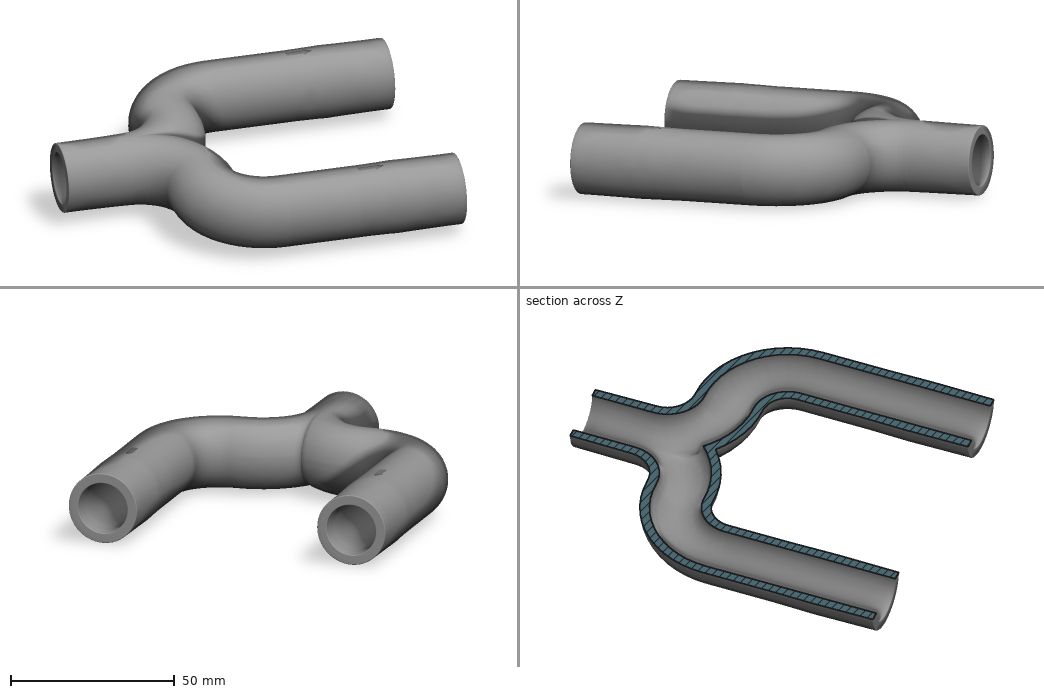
import cadquery as cq
import math

length = 115.1
leg_spacing = 80.0
leg_offset = leg_spacing / 2

tube_dia = 22.0
bore_dia = 15.8

stem_length = 20.0
stem_tip_dia = 21.5

leg_spigot_length = 20.1
leg_taper_length = 13.6
leg_shoulder_dia = 22.5
leg_tip_dia = tube_dia

edge_round = 0.29

arrow_tip_gap = 3.2
arrow_length = 8.3
arrow_head_length = 2.9
arrow_head_width = 3.8
arrow_shaft_width = 2.1
arrow_depth = 0.3

stem_bend_radius = 20.0
leg_bend_radius = 19.0
bend_cosine = 1 - leg_offset / (stem_bend_radius + leg_bend_radius)
bend_angle = math.acos(bend_cosine)

stem_tip_y = -length / 2
leg_tip_y = length / 2
stem_root_y = stem_tip_y + stem_length
leg_start_y = stem_root_y + (stem_bend_radius + leg_bend_radius) * math.sin(bend_angle)
leg_shoulder_y = leg_tip_y - leg_spigot_length
leg_taper_y = leg_shoulder_y - leg_taper_length


def bend_point(angle):
    """Point on the stem bend after turning through the given angle."""
    x = stem_bend_radius * (1 - math.cos(angle))
    y = stem_root_y + stem_bend_radius * math.sin(angle)
    return x, y


def leg_bend_point(angle):
    """Point on the leg bend with the given angle left to turn."""
    x = leg_offset - leg_bend_radius * (1 - math.cos(angle))
    y = leg_start_y - leg_bend_radius * math.sin(angle)
    return x, y


def branch(diameter, start_y, end_y):
    """Solid rod along the +X branch, from the stem through the S-bend to the leg."""
    path = cq.Workplane("XY").moveTo(0, start_y)
    if start_y < stem_root_y:
        path = path.lineTo(0, stem_root_y)
    path = (
        path.threePointArc(bend_point(bend_angle / 2), bend_point(bend_angle))
        .threePointArc(leg_bend_point(bend_angle / 2), (leg_offset, leg_start_y))
        .lineTo(leg_offset, end_y)
    )
    start_plane = cq.Plane(origin=(0, start_y, 0), xDir=(1, 0, 0), normal=(0, 1, 0))
    return cq.Workplane(start_plane).circle(diameter / 2).sweep(path)


def both_branches(diameter, start_y, end_y):
    """The +X branch joined to its mirror image."""
    right = branch(diameter, start_y, end_y)
    return right.union(right.mirror("YZ"))


def turned(profile, axis_x):
    """Revolve a (radius, y) profile about the line x = axis_x, parallel to Y."""
    outline = cq.Workplane("XY").polyline(profile).close()
    return outline.revolve(360, (0, 0), (0, 1)).translate((axis_x, 0, 0))


def stem_spigot():
    """Solid tapered spigot at the foot of the stem."""
    profile = [
        (0, stem_tip_y),
        (stem_tip_dia / 2, stem_tip_y),
        (tube_dia / 2, stem_root_y),
        (0, stem_root_y),
    ]
    return turned(profile, 0)


def leg_spigot(axis_x):
    """Solid double-tapered spigot at the end of one leg."""
    profile = [
        (0, leg_taper_y),
        (tube_dia / 2, leg_taper_y),
        (leg_shoulder_dia / 2, leg_shoulder_y),
        (leg_tip_dia / 2, leg_tip_y),
        (0, leg_tip_y),
    ]
    return turned(profile, axis_x)


def flow_arrow(axis_x):
    """Cutter for one arrow, its flat floor lying below the top of the tube."""
    tip_y = leg_shoulder_y - arrow_tip_gap
    head_y = tip_y - arrow_head_length
    tail_y = tip_y - arrow_length
    floor_z = tube_dia / 2 - arrow_depth
    right_side = [
        (arrow_head_width / 2, head_y),
        (arrow_shaft_width / 2, head_y),
        (arrow_shaft_width / 2, tail_y),
    ]
    left_side = [(-x, y) for x, y in reversed(right_side)]
    outline = [(0, tip_y)] + right_side + left_side
    plane = cq.Workplane("XY", origin=(axis_x, 0, floor_z))
    return plane.polyline(outline).close().extrude(leg_shoulder_dia / 2 - floor_z)


body = both_branches(tube_dia, stem_root_y, leg_taper_y)
body = body.union(stem_spigot())
for side in (-1, 1):
    body = body.union(leg_spigot(side * leg_offset)).cut(flow_arrow(side * leg_offset))

body = body.cut(both_branches(bore_dia, stem_tip_y, leg_tip_y))

result = body.faces("<Y or >Y").edges().fillet(edge_round)